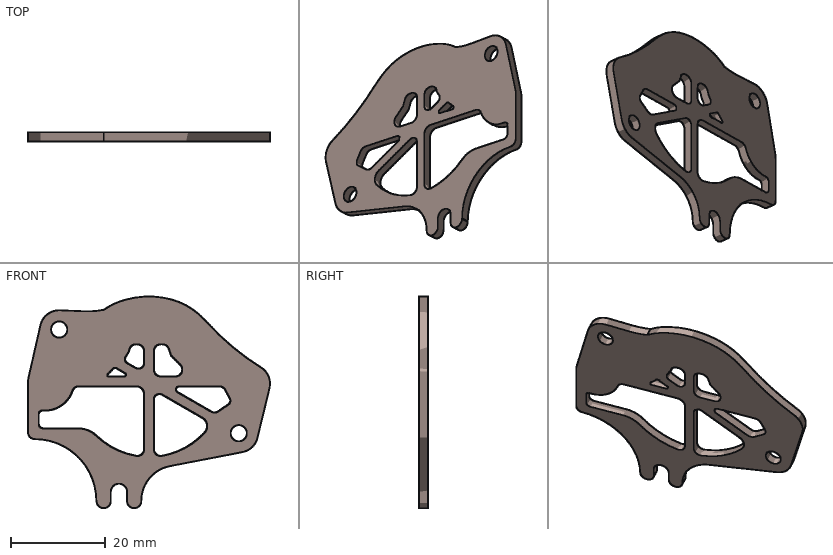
import cadquery as cq
import math

thickness = 2.0
half_width = 25.6
top_height = 17.95
bottom_depth = 26.8

hole_diameter = 3.4
hole_circle_radius = 21.9
spoke_angle = 30.0
corner_radius = 4.1

side_tilt = 12.8
bottom_tilt = 10.2
top_tilt = 2.3

slot_x = -6.35
slot_width = hole_diameter
slot_center_z = -23.35
prong_width = 3.05

left_flank_radius = 12.95
heel_radius = 1.5
right_flank_radius = 7.35
flank_center_z = -25.2

shoulder_start_x = -13.65
dome_start = (-9.5, 15.15)
dome_rise_middle = (-7.3, 16.45)
dome_crown_half_width = 4.85
dome_end = (11.55, 13.2)
shoulder_end = (12.35, 12.45)
brow_middle = (17.7, 7.25)
brow_tip = (26.2, 1.5)

rib_width = 2.0
window_draft = 5.0
window_arc_radius = 16.0
window_radius = 1.5
half_rib = rib_width / 2
spoke_slope = math.tan(math.radians(spoke_angle))
spoke_offset = half_rib / math.cos(math.radians(spoke_angle))


def polar(center, radius, degrees):
    """Point at the given radius and direction from a center."""
    angle = math.radians(degrees)
    return (center[0] + radius * math.cos(angle), center[1] + radius * math.sin(angle))


def arc_points(center, radius, start, end):
    """Middle and end point of an arc between two directions."""
    return polar(center, radius, (start + end) / 2), polar(center, radius, end)


def above_spoke(x):
    """Point on the upper edge of the sloping spoke."""
    return (x, -spoke_slope * x + spoke_offset)


def below_spoke(x):
    """Point on the lower edge of the sloping spoke."""
    return (x, -spoke_slope * x - spoke_offset)


def on_window_arc(x):
    """Point on the lower half of the circle that bounds the large windows."""
    return (x, -math.sqrt(window_arc_radius**2 - x**2))


hole_left = polar((0, 0), hole_circle_radius, 180 - spoke_angle)
hole_right = polar((0, 0), hole_circle_radius, -spoke_angle)


def rounded_face(corners):
    """Face from (point, corner radius, arc point on the way to the next corner or None)."""
    edges = []
    for (start, _, via), (end, _, _) in zip(corners, corners[1:] + corners[:1]):
        ends = [cq.Vector(*start), cq.Vector(*end)]
        if via is None:
            edges.append(cq.Edge.makeLine(*ends))
        else:
            edges.append(cq.Edge.makeThreePointArc(ends[0], cq.Vector(*via), ends[1]))
    face = cq.Face.makeFromWires(cq.Wire.assembleEdges(edges))
    for point, radius, _ in corners:
        if radius:
            vertex = min(face.Vertices(), key=lambda v: (v.Center() - cq.Vector(*point)).Length)
            face = face.fillet2D(radius, [vertex])
    return face


def make_plate():
    """Solid plate, outlined clockwise from the left heel."""
    flank_left = (-half_width + heel_radius, flank_center_z)
    flank_right = (slot_x + slot_width / 2 + prong_width + right_flank_radius, flank_center_z)
    prong_radius = prong_width / 2
    prong_z = prong_radius - bottom_depth
    prong_spacing = slot_width + prong_width
    prong_left = (slot_x - prong_spacing / 2, prong_z)
    prong_right = (slot_x + prong_spacing / 2, prong_z)
    slot_center = (slot_x, slot_center_z)
    heel = (flank_left[0], flank_center_z + left_flank_radius + heel_radius)

    corner_start = polar(hole_left, corner_radius, 180 - side_tilt)
    side_rise = (corner_start[0] + half_width) / math.tan(math.radians(side_tilt))
    left_knee = (-half_width, corner_start[1] - side_rise)
    corner_top = polar(hole_left, corner_radius, 90 - top_tilt)
    top_fall = (shoulder_start_x - corner_top[0]) * math.tan(math.radians(top_tilt))
    shoulder_start = (shoulder_start_x, corner_top[1] - top_fall)
    crown_z = math.sqrt(top_height**2 - dome_crown_half_width**2)

    outline = (
        cq.Workplane("XY")
        .moveTo(-half_width, heel[1])
        .lineTo(*left_knee)
        .lineTo(*corner_start)
        .threePointArc(*arc_points(hole_left, corner_radius, 180 - side_tilt, 90 - top_tilt))
        .lineTo(*shoulder_start)
        .tangentArcPoint(dome_start, relative=False)
        .threePointArc(dome_rise_middle, (-dome_crown_half_width, crown_z))
        .threePointArc((0, top_height), (dome_crown_half_width, crown_z))
        .tangentArcPoint(dome_end, relative=False)
        .lineTo(*shoulder_end)
        .threePointArc(brow_middle, brow_tip)
        .lineTo(*polar(hole_right, corner_radius, -side_tilt))
        .threePointArc(*arc_points(hole_right, corner_radius, -side_tilt, bottom_tilt - 90))
        .lineTo(*polar(flank_right, right_flank_radius, 90 + bottom_tilt))
        .threePointArc(*arc_points(flank_right, right_flank_radius, 90 + bottom_tilt, 180))
        .lineTo(prong_right[0] + prong_radius, prong_z)
        .threePointArc(*arc_points(prong_right, prong_radius, 0, -180))
        .lineTo(slot_x + slot_width / 2, slot_center_z)
        .threePointArc(*arc_points(slot_center, slot_width / 2, 0, 180))
        .lineTo(prong_left[0] + prong_radius, prong_z)
        .threePointArc(*arc_points(prong_left, prong_radius, 0, -180))
        .lineTo(flank_left[0] + left_flank_radius, flank_center_z)
        .threePointArc(*arc_points(flank_left, left_flank_radius, 0, 90))
        .threePointArc(*arc_points(heel, heel_radius, 270, 180))
        .close()
    )
    plate = outline.extrude(thickness / 2, both=True)
    for corner in (left_knee, brow_tip):
        selector = cq.NearestToPointSelector((*corner, 0))
        plate = plate.edges("|Z").edges(selector).fillet(corner_radius)
    return plate


def window_cutter(corners):
    """Cutter that tapers from both faces to a waist at mid-thickness."""
    face = rounded_face(corners).translate(cq.Vector(0, 0, -thickness / 2))
    depth = cq.Vector(0, 0, thickness / 2)
    half = cq.Workplane(cq.Solid.extrudeLinear(face.outerWire(), [], depth, window_draft))
    return half.union(half.mirror("XY"))


spoke_tip_x = (half_rib + spoke_offset) / spoke_slope
upper_window_top = 7.9
inner_spoke_radius = 1.25
side_corner_radius = 1.0

arm_left = -23.35
arm_bottom = -10.0
arm_bottom_radius = 1.0
arm_top_radius = 0.8
arm_blend_radius = 5.6
arm_arc_center = (-22.0, 0)
arm_arc_radius = 6.15
rib_corner_radius = 1.7
arm_top_drop = math.sqrt(arm_arc_radius**2 - (arm_left - arm_arc_center[0]) ** 2)
arm_arc_end_x = arm_arc_center[0] + math.sqrt(arm_arc_radius**2 - half_rib**2)
arm_blend_x = -math.sqrt(window_arc_radius**2 - arm_bottom**2)
large_left = [
    ((arm_left, arm_bottom), arm_bottom_radius, None),
    ((arm_left, -arm_top_drop), arm_top_radius, polar(arm_arc_center, arm_arc_radius, -45)),
    ((arm_arc_end_x, -half_rib), window_radius, None),
    ((-half_rib, -half_rib), rib_corner_radius, None),
    (on_window_arc(-half_rib), window_radius, on_window_arc(arm_blend_x / 2)),
    ((arm_blend_x, arm_bottom), arm_blend_radius, None),
]

sector_tip_angle = spoke_angle + math.degrees(math.asin(half_rib / window_arc_radius))
sector_tip = polar((0, 0), window_arc_radius, -sector_tip_angle)
sector_tip_radius = 2.05
large_right = [
    (below_spoke(half_rib), inner_spoke_radius, None),
    (sector_tip, sector_tip_radius, on_window_arc(sector_tip[0] / 2)),
    (on_window_arc(half_rib), window_radius, None),
]

wedge_tip_radius = 0.7
wedge_top_right = (15.7, -half_rib)
wedge_outer = (17.55, -4.4)
wedge_bottom_x = 13.9
wedge = [
    ((spoke_tip_x, -half_rib), wedge_tip_radius, None),
    (wedge_top_right, window_radius, None),
    (wedge_outer, side_corner_radius, None),
    (above_spoke(wedge_bottom_x), window_radius, None),
]

upper_right_shoulder = (3.9, upper_window_top)
upper_right_kink = (4.7, 5.5)
upper_right_tip = (9.15, half_rib)
upper_right = [
    ((half_rib, half_rib), window_radius, None),
    ((half_rib, upper_window_top), window_radius, None),
    (upper_right_shoulder, window_radius, None),
    (upper_right_kink, 0, None),
    (upper_right_tip, window_radius, None),
]

upper_left_corner_x = -5.55
upper_left_kink = (-4.35, 6.2)
upper_left_shoulder = (-3.85, upper_window_top)
upper_left = [
    (above_spoke(-half_rib), inner_spoke_radius, None),
    (above_spoke(upper_left_corner_x), side_corner_radius, None),
    (upper_left_kink, 0, None),
    (upper_left_shoulder, window_radius, None),
    ((-half_rib, upper_window_top), window_radius, None),
]

triangle_left = (-9.25, half_rib)
triangle_top_x = -7.25
triangle_right_radius = 0.4
triangle_left_radius = 0.3
triangle_top_radius = 0.5
triangle = [
    ((-spoke_tip_x, half_rib), triangle_right_radius, None),
    (triangle_left, triangle_left_radius, None),
    (below_spoke(triangle_top_x), triangle_top_radius, None),
]

plate = make_plate()
for corners in (large_left, large_right, wedge, upper_right, upper_left, triangle):
    plate = plate.cut(window_cutter(corners))
holes = cq.Workplane("XY").pushPoints([hole_left, hole_right]).circle(hole_diameter / 2)
plate = plate.cut(holes.extrude(thickness, both=True))
result = plate.rotate((0, 0, 0), (1, 0, 0), 90)